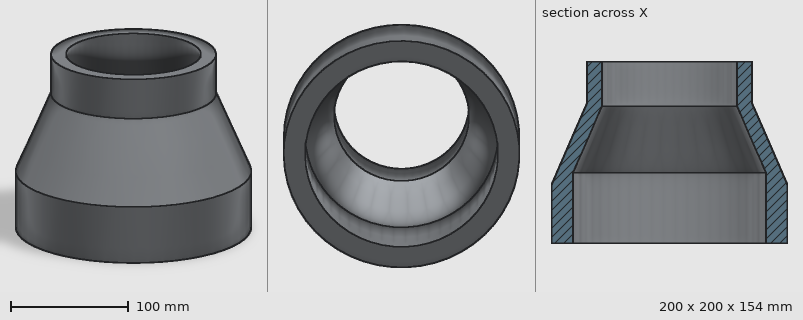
import cadquery as cq
import math

height = 154.0
large_diameter = 200.0
small_diameter = 140.0
large_length = 50.0
small_length = 35.0

large_wall = 18.2
small_wall = 12.8

large_radius = large_diameter / 2
small_radius = small_diameter / 2
large_bore_radius = large_radius - large_wall
small_bore_radius = small_radius - small_wall
shoulder_z = height - small_length

cone_slope = (large_radius - small_radius) / (shoulder_z - large_length)
cone_angle = math.atan(cone_slope)
inner_cone_top_z = shoulder_z - small_wall * math.tan(cone_angle / 2)
inner_cone_height = (large_bore_radius - small_bore_radius) / cone_slope
inner_cone_bottom_z = inner_cone_top_z - inner_cone_height

section = (
    cq.Workplane("XZ")
    .moveTo(large_bore_radius, 0)
    .lineTo(large_radius, 0)
    .lineTo(large_radius, large_length)
    .lineTo(small_radius, shoulder_z)
    .lineTo(small_radius, height)
    .lineTo(small_bore_radius, height)
    .lineTo(small_bore_radius, inner_cone_top_z)
    .lineTo(large_bore_radius, inner_cone_bottom_z)
    .close()
)

result = section.revolve(360, (0, 0, 0), (0, 1, 0))